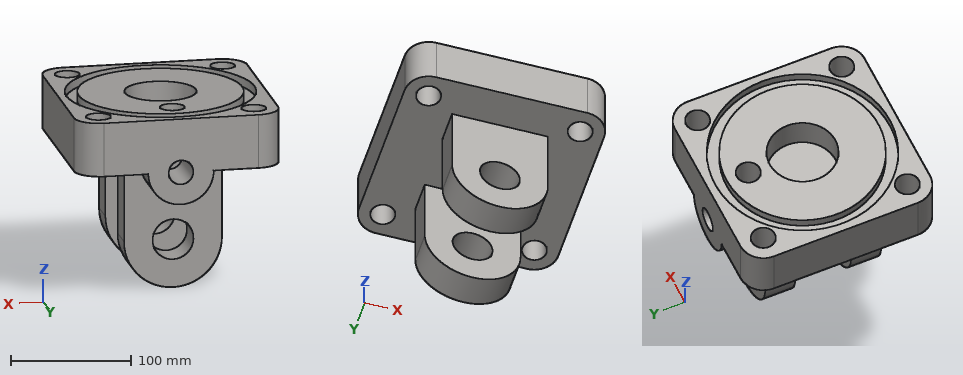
import cadquery as cq

plate_side = 173.0
plate_height = 46.0
corner_radius = 21.0
bolt_offset = 65.7
bolt_hole_radius = 10.4

groove_outer_radius = 79.5
groove_inner_radius = 69.2
groove_depth = 8.0
bore_radius = 30.0
bore_depth = 27.7

total_height = 154.5
lug_radius = 41.5
lug_thickness = 27.5
lug_outer_y = 53.0
pin_hole_radius = 17.3
pin_z = -(total_height - lug_radius)

boss_radius = 27.7
port_radius = 10.4
port_y = 49.5
port_axis_z = -plate_height
boss_end_y = plate_side / 2


def cylinder_along_y(radius, start_y, end_y, z):
    """Cylinder parallel to Y, centred on X = 0."""
    start = cq.Vector(0, start_y, z)
    return cq.Workplane(cq.Solid.makeCylinder(radius, end_y - start_y, start, cq.Vector(0, 1, 0)))


def make_plate():
    return (
        cq.Workplane("XY")
        .rect(plate_side, plate_side)
        .extrude(-plate_height)
        .edges("|Z")
        .fillet(corner_radius)
    )


def make_lug(start_y):
    """Round-ended lug hanging from the plate's underside."""
    end_y = start_y + lug_thickness
    shank_height = -plate_height - pin_z
    shank = cq.Workplane("XY").box(
        2 * lug_radius, lug_thickness, shank_height, centered=(True, False, False)
    ).translate((0, start_y, pin_z))
    rounded_end = cylinder_along_y(lug_radius, start_y, end_y, pin_z)
    pin_hole = cylinder_along_y(pin_hole_radius, start_y, end_y, pin_z)
    return shank.union(rounded_end).cut(pin_hole)


def make_boss():
    """Lower half of a cylinder, reaching from the +Y lug to the plate edge."""
    boss = cylinder_along_y(boss_radius, lug_outer_y, boss_end_y, port_axis_z)
    return boss.intersect(
        cq.Workplane("XY", origin=(0, 0, port_axis_z)).rect(plate_side, plate_side).extrude(-boss_radius)
    )


def make_groove():
    return (
        cq.Workplane("XY")
        .circle(groove_outer_radius)
        .circle(groove_inner_radius)
        .extrude(-groove_depth)
    )


def make_port():
    """Vertical drilling from the top face meeting a blind drilling from the boss end."""
    vertical = cq.Workplane("XY").center(0, port_y).circle(port_radius).extrude(port_axis_z)
    horizontal = cylinder_along_y(port_radius, port_y - port_radius, boss_end_y, port_axis_z)
    return vertical.union(horizontal)


body = make_plate()
for lug_start_y in (lug_outer_y - lug_thickness, -lug_outer_y):
    body = body.union(make_lug(lug_start_y))
body = body.union(make_boss())

bore = cq.Workplane("XY").circle(bore_radius).extrude(-bore_depth)
bolt_holes = (
    cq.Workplane("XY")
    .rect(2 * bolt_offset, 2 * bolt_offset, forConstruction=True)
    .vertices()
    .circle(bolt_hole_radius)
    .extrude(-plate_height)
)

result = body.cut(make_groove()).cut(bore).cut(bolt_holes).cut(make_port())